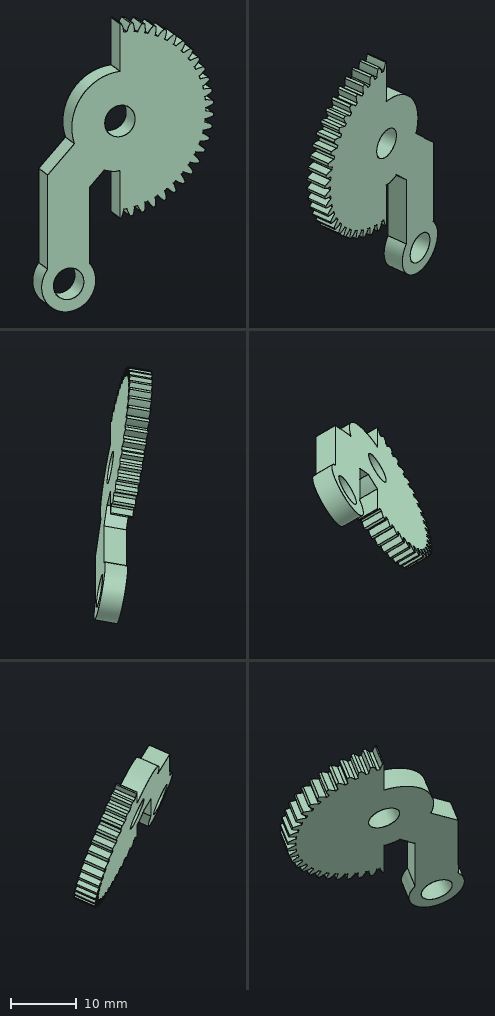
import cadquery as cq
import math

THICKNESS = 3.5

MODULE = 0.6
FULL_GEAR_TEETH = 50
PRESSURE_ANGLE = math.radians(20)
DEDENDUM_FACTOR = 1.25
PITCH_RADIUS = MODULE * FULL_GEAR_TEETH / 2
BASE_RADIUS = PITCH_RADIUS * math.cos(PRESSURE_ANGLE)
TIP_RADIUS = PITCH_RADIUS + MODULE
ROOT_RADIUS = PITCH_RADIUS - DEDENDUM_FACTOR * MODULE
TOOTH_PITCH = 2 * math.pi / FULL_GEAR_TEETH
GAP_COUNT = FULL_GEAR_TEETH // 2
FLANK_STEPS = 4

HUB_RADIUS = 8.0
BORE_DIAMETER = 5.0
ARM_WIDTH = 7.0
EYE_RADIUS = 4.5
EYE_Y = -8.5
EYE_Z = -25.0
BEND_Z = EYE_Y


def polar(radius, angle):
    """Point in the YZ plane; the angle runs from +Z towards +Y."""
    return (radius * math.sin(angle), radius * math.cos(angle))


def involute(angle):
    return math.tan(angle) - angle


def half_tooth_angle(radius):
    """Half the angle that a tooth spans at the given radius."""
    local_pressure_angle = math.acos(BASE_RADIUS / radius)
    return TOOTH_PITCH / 4 + involute(PRESSURE_ANGLE) - involute(local_pressure_angle)


def make_sector():
    """Half gear whose straight edge cuts one tooth in half at each end."""
    radius_step = (TIP_RADIUS - ROOT_RADIUS) / FLANK_STEPS
    flank_radii = [ROOT_RADIUS + step * radius_step for step in range(FLANK_STEPS + 1)]
    half_tip = half_tooth_angle(TIP_RADIUS)

    outline = cq.Workplane("YZ").moveTo(*polar(TIP_RADIUS, 0))
    outline = outline.threePointArc(polar(TIP_RADIUS, half_tip / 2), polar(TIP_RADIUS, half_tip))
    for gap in range(GAP_COUNT):
        tooth_before = gap * TOOTH_PITCH
        tooth_after = tooth_before + TOOTH_PITCH
        gap_center = tooth_before + TOOTH_PITCH / 2
        falling = [polar(r, tooth_before + half_tooth_angle(r)) for r in reversed(flank_radii)]
        rising = [polar(r, tooth_after - half_tooth_angle(r)) for r in flank_radii]
        outline = outline.spline(falling[1:], includeCurrent=True)
        outline = outline.threePointArc(polar(ROOT_RADIUS, gap_center), rising[0])
        outline = outline.spline(rising[1:], includeCurrent=True)

        is_last = gap == GAP_COUNT - 1
        tip_end = tooth_after if is_last else tooth_after + half_tip
        tip_middle = (tooth_after - half_tip + tip_end) / 2
        outline = outline.threePointArc(polar(TIP_RADIUS, tip_middle), polar(TIP_RADIUS, tip_end))
    return outline.close().extrude(THICKNESS)


def make_disc(y, z, radius):
    return cq.Workplane("YZ").center(y, z).circle(radius).extrude(THICKNESS)


def make_arm():
    """Constant-width arm: 45 degrees out from the gear axis, then straight down to the eye."""
    half_width = ARM_WIDTH / 2
    start_offset = half_width * math.sin(math.pi / 4)
    miter = half_width * math.tan(math.pi / 8)
    outer_y = EYE_Y - half_width
    inner_y = EYE_Y + half_width
    points = [
        (-start_offset, start_offset),
        (outer_y, BEND_Z + miter),
        (outer_y, EYE_Z),
        (inner_y, EYE_Z),
        (inner_y, BEND_Z - miter),
        (start_offset, -start_offset),
    ]
    return cq.Workplane("YZ").polyline(points).close().extrude(THICKNESS)


hub = make_disc(0, 0, HUB_RADIUS)
eye = make_disc(EYE_Y, EYE_Z, EYE_RADIUS)
lever = make_sector().union(hub).union(make_arm()).union(eye)

for bore_y, bore_z in [(0, 0), (EYE_Y, EYE_Z)]:
    lever = lever.cut(make_disc(bore_y, bore_z, BORE_DIAMETER / 2))

result = lever